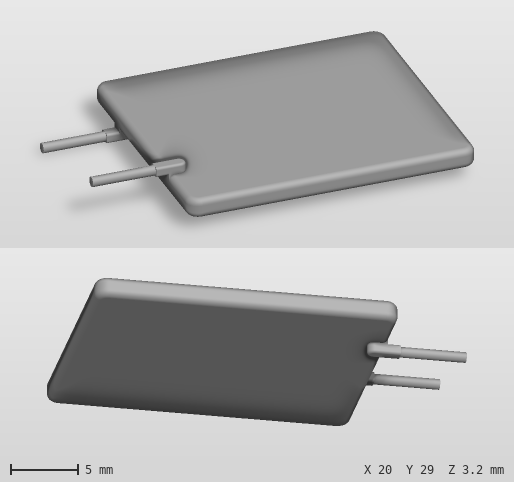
import cadquery as cq

body_width = 20.0
body_thickness = 1.6
body_corner_radius = 1.0
body_edge_radius = 0.5

total_length = 29.0
total_height = 3.2
lead_offset = 5.1
lead_diameter = (total_height - body_thickness) / 2
lead_length = 5.02

holder_width = 1.02
holder_overhang = 1.0
holder_round_radius = holder_width / 2
holder_round_center = body_corner_radius
holder_edge_radius = 0.2

body_length = total_length - holder_overhang - lead_length
body_top = body_thickness / 2


def make_body():
    slab = cq.Workplane("XY").box(
        body_width, body_length, body_thickness, centered=(True, False, True)
    )
    slab = slab.edges("|Z").fillet(body_corner_radius)
    return slab.faces("<Z or >Z").edges().fillet(body_edge_radius)


def holder_bar(bottom, front, height):
    """Round-ended bar running from the given front plane back over the body."""
    half_width = holder_width / 2
    return (
        cq.Workplane("XY", origin=(lead_offset, 0, bottom))
        .moveTo(-half_width, front)
        .lineTo(half_width, front)
        .lineTo(half_width, holder_round_center)
        .threePointArc(
            (0, holder_round_center + holder_round_radius),
            (-half_width, holder_round_center),
        )
        .close()
        .extrude(height)
    )


def make_upper_lead():
    """Holder, the web joining it flush to the body's front, and the round lead."""
    block = holder_bar(body_top, -holder_overhang, lead_diameter)
    block = block.faces("<Z or >Z").edges("not <Y").fillet(holder_edge_radius)
    web = holder_bar(0, 0, body_top + holder_edge_radius)
    lead = (
        cq.Workplane("XZ", origin=(lead_offset, -holder_overhang, body_top + lead_diameter / 2))
        .circle(lead_diameter / 2)
        .extrude(lead_length)
    )
    return block.union(web).union(lead)


upper_lead = make_upper_lead()
lower_lead = upper_lead.rotate((0, 0, 0), (0, 1, 0), 180)

result = make_body().union(upper_lead).union(lower_lead)